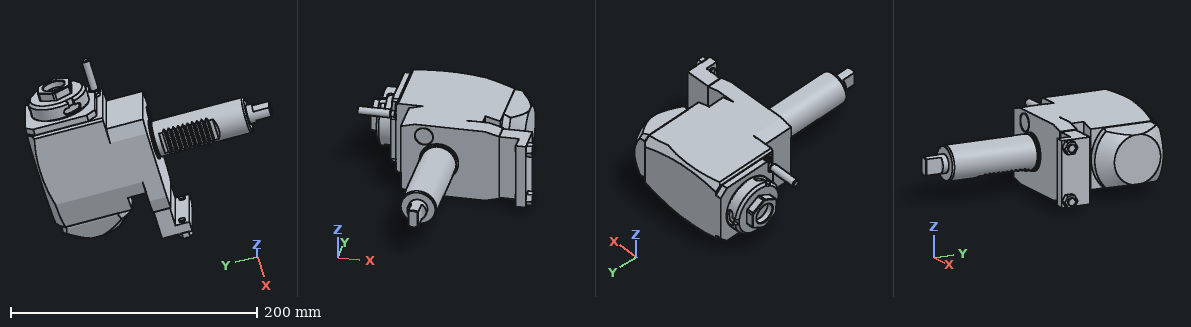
import cadquery as cq
import math


HALF_HEIGHT = 32.0
BACK_Y = 95.0
HEAD_LEFT, HEAD_RIGHT = -42.7, 44.0
HEAD_FRONT = 31.0
NECK_HALF = 31.8
FLANGE_RIGHT = 49.9
FLANGE_DEPTH = 15.3
BEVEL_LENGTH = 11.6
BEVEL_SLOPE = math.tan(math.radians(15))
BEVEL_DROP = BEVEL_LENGTH * BEVEL_SLOPE
HEAD_BEVEL_X = NECK_HALF - BEVEL_LENGTH
HEAD_CHAMFER = 2.0
BACK_CORNER_CHAMFER = 3.5
CROWN_RADIUS = 128.0
CROWN_X = -11.0
CROWN_CHAMFER = 2.3
FACE_RECESS_X, FACE_RECESS_Z = -12.6, 21.5
FACE_RECESS_RADIUS = 7.5
FACE_RECESS_DEPTH = 0.5

SPINDLE_Y = 65.0
CAP_RADIUS = 33.4
CAP_END = 61.5
CAP_CHAMFER_LENGTH, CAP_CHAMFER_RADIAL = 11.0, 12.2
CAP_STEP_X = 45.8
CAP_BACK = 91.2

PLATE_LEFT = -48.1
PLATE_FRONT = 35.9
PLATE_HALF_HEIGHT = 29.5
PLATE_CHAMFER = 7.0
PLATE_CORNER_CHAMFER = 1.7

NUT_LEFT, NUT_RIGHT = -61.5, -48.9
NUT_RADIUS = 24.5
NUT_CHAMFER = 2.3
NUT_NECK_RADIUS = 23.3
HEX_LEFT = -68.5
HEX_FLATS = 27.0
HEX_CORNER_RADIUS = 30.0 / 2
BORE_RADIUS = 9.0
BORE_DEPTH = 5.8
HEX_EDGE_CHAMFER = 0.5
NOTCH_ANGLES = (30, 150, 270)
NOTCH_WIDTH = 5.5
NOTCH_DEPTH = 2.7
NOTCH_END = -55.7
GROOVE_X = -53.0
GROOVE_WIDTH = 5.6
GROOVE_DEPTH = 2.3
GROOVE_ANGLE = 25.0

PIN_Y, PIN_Z = 36.3, 19.0
PIN_LEFT, PIN_RIGHT = -75.5, -48.3
PIN_RADIUS = 3.5
PIN_CHAMFER = 0.8
PIN_COLLAR_X, PIN_COLLAR_RADIUS = -47.5, 3.1
PIN_NECK_X, PIN_NECK_RADIUS = -44.6, 2.5
PIN_CLEARANCE = 4.8
CLAMP_Z = 26.0
CLAMP_RADIUS = 3.7
CLAMP_HEAD = 1.0
SOCKET_SIZE = 2.7

COLLAR_RADIUS, COLLAR_END = 16.1, -1.0
SHANK_RADIUS, SHANK_END = 30.0 / 2, -80.0
SHANK_RELIEF_RADIUS, SHANK_RELIEF_END = 14.5, -2.3
SHANK_CHAMFER_RADIAL, SHANK_CHAMFER_LENGTH = 0.8, 1.5
RACK_Z = -12.0
RACK_START, RACK_END = -7.0, -52.4
RACK_RAMP = -55.0
GAP_COUNT = 10
FIRST_GAP_Y, LAST_GAP_Y = -11.5, -47.3
GAP_PITCH = (FIRST_GAP_Y - LAST_GAP_Y) / (GAP_COUNT - 1)
GAP_DEPTH = 1.5
TENON_RADIUS = 8.0
TENON_END = -85.2
TANG_WIDTH = 8.3
OVERALL_DEPTH = 194.0
TANG_END = BACK_Y - OVERALL_DEPTH
TANG_CHAMFER = 0.5
TANG_ROOT_FILLET = 0.8

FOOT_RIGHT = 74.5
FOOT_HALF_HEIGHT = 28.3
FOOT_BACK, FOOT_FRONT = 14.5, 0.8
TAB_LEFT = 66.2
TAB_FRONT = -11.0
SCREW_Y, SCREW_Z = -5.0, 22.5
SCREW_NUT_FLATS = 10.0
SCREW_NUT_RIGHT = 79.5
SCREW_LEFT, SCREW_TIP_RADIUS = 64.8, 2.5
SCREW_RIGHT, SCREW_RADIUS = 80.9, 3.3


def block(x0, x1, y0, y1, z0, z1):
    """Box between two opposite corners."""
    return cq.Workplane("XY").box(x1 - x0, y1 - y0, z1 - z0, centered=False).translate((x0, y0, z0))


def rod(x0, x1, radius, y, z):
    """Cylinder along X."""
    return cq.Workplane("YZ", origin=(x0, y, z)).circle(radius).extrude(x1 - x0)


def hex_rod(x0, x1, flats, y, z):
    """Hexagonal bar along X with two corners on its Z diameter."""
    diameter = flats / math.cos(math.radians(30))
    bar = cq.Workplane("YZ").polygon(6, diameter).extrude(x1 - x0)
    return bar.rotate((0, 0, 0), (1, 0, 0), 90).translate((x0, y, z))


def turned_x(profile, y, z):
    """Solid turned about an X-parallel axis; the profile lists (x, radius)."""
    return cq.Workplane("XY").polyline(profile).close().revolve(360, (0, 0), (1, 0)).translate((0, y, z))


def prism_y(upper, y0, y1):
    """Prism along Y; upper lists (x, z) and is mirrored to the lower half."""
    lower = [(x, -z) for x, z in reversed(upper)]
    return cq.Workplane("XZ", origin=(0, y1, 0)).polyline(upper + lower).close().extrude(y1 - y0)


def about_spindle(solid, angle):
    return solid.rotate((0, SPINDLE_Y, 0), (1, SPINDLE_Y, 0), angle)


def bevelled_body(right, y0, y1):
    """Body section with its top and bottom bevelled towards both X ends."""
    low = HALF_HEIGHT - BEVEL_DROP
    upper = [
        (-NECK_HALF, low),
        (BEVEL_LENGTH - NECK_HALF, HALF_HEIGHT),
        (right - BEVEL_LENGTH, HALF_HEIGHT),
        (right, low),
    ]
    return prism_y(upper, y0, y1)


def bevel_height(x):
    """Height of the head's sloping top at x."""
    return HALF_HEIGHT - (x - HEAD_BEVEL_X) * BEVEL_SLOPE


def make_head():
    upper = [
        (HEAD_LEFT, HALF_HEIGHT - HEAD_CHAMFER),
        (HEAD_LEFT + HEAD_CHAMFER, HALF_HEIGHT),
        (HEAD_BEVEL_X, HALF_HEIGHT),
        (HEAD_RIGHT, bevel_height(HEAD_RIGHT)),
    ]
    head = prism_y(upper, HEAD_FRONT, BACK_Y)
    head = head.edges("|Z and >X and >Y").chamfer(BACK_CORNER_CHAMFER)
    waist = CROWN_RADIUS + HALF_HEIGHT
    crown = (
        cq.Workplane("XZ")
        .polyline([(0, -HALF_HEIGHT), (CROWN_RADIUS, -HALF_HEIGHT), (waist, 0),
                   (CROWN_RADIUS, HALF_HEIGHT), (0, HALF_HEIGHT)])
        .close()
        .revolve(360, (0, 0), (0, 1))
        .translate((CROWN_X, BACK_Y - CROWN_CHAMFER - CROWN_RADIUS, 0))
    )
    return head.intersect(crown)


def make_cap():
    cap = turned_x(
        [(HEAD_RIGHT, 0), (HEAD_RIGHT, CAP_RADIUS), (CAP_END - CAP_CHAMFER_LENGTH, CAP_RADIUS),
         (CAP_END, CAP_RADIUS - CAP_CHAMFER_RADIAL), (CAP_END, 0)],
        SPINDLE_Y, 0,
    )
    upper = [
        (HEAD_RIGHT, bevel_height(CAP_STEP_X)),
        (CAP_STEP_X, bevel_height(CAP_STEP_X)),
        (CAP_END, bevel_height(CAP_END)),
    ]
    return cap.intersect(prism_y(upper, SPINDLE_Y - CAP_RADIUS, CAP_BACK))


def make_plate():
    plate = block(PLATE_LEFT, HEAD_LEFT, PLATE_FRONT, BACK_Y, -PLATE_HALF_HEIGHT, PLATE_HALF_HEIGHT)
    plate = plate.edges("|X").edges(">Y or <Z").chamfer(PLATE_CHAMFER)
    recess = rod(PLATE_LEFT, HEAD_LEFT, PIN_CLEARANCE, PIN_Y, PIN_Z)
    slot = block(PLATE_LEFT, HEAD_LEFT, PLATE_FRONT, PIN_Y + PIN_CLEARANCE, PIN_Z, PLATE_HALF_HEIGHT)
    plate = plate.cut(recess).cut(slot)
    corner = cq.selectors.NearestToPointSelector((HEAD_LEFT, PIN_Y + PIN_CLEARANCE, PLATE_HALF_HEIGHT))
    return plate.edges("|X").edges(corner).chamfer(PLATE_CORNER_CHAMFER)


def make_collet_nut():
    nut = turned_x(
        [(NUT_LEFT, 0), (NUT_LEFT, NUT_RADIUS - NUT_CHAMFER), (NUT_LEFT + NUT_CHAMFER, NUT_RADIUS),
         (NUT_RIGHT, NUT_RADIUS), (NUT_RIGHT, NUT_NECK_RADIUS), (PLATE_LEFT, NUT_NECK_RADIUS),
         (PLATE_LEFT, 0)],
        SPINDLE_Y, 0,
    )
    notch = block(
        NUT_LEFT, NOTCH_END,
        SPINDLE_Y - NOTCH_WIDTH / 2, SPINDLE_Y + NOTCH_WIDTH / 2,
        NUT_RADIUS - NOTCH_DEPTH, NUT_RADIUS + NOTCH_DEPTH,
    )
    floor = NUT_RADIUS - GROOVE_DEPTH
    end_angle = GROOVE_ANGLE / 2
    sweep = (
        cq.Workplane("XZ", origin=(GROOVE_X, SPINDLE_Y, NUT_RADIUS))
        .rect(GROOVE_WIDTH, 2 * GROOVE_DEPTH)
        .revolve(GROOVE_ANGLE, (0, -NUT_RADIUS), (1, -NUT_RADIUS))
    )
    sweep = about_spindle(sweep, -end_angle)
    round_end = (
        cq.Workplane("XY", origin=(GROOVE_X, SPINDLE_Y, floor))
        .circle(GROOVE_WIDTH / 2)
        .extrude(2 * GROOVE_DEPTH)
    )
    cutters = (
        notch, sweep,
        about_spindle(round_end, -end_angle), about_spindle(round_end, end_angle),
    )
    for angle in NOTCH_ANGLES:
        for cutter in cutters:
            nut = nut.cut(about_spindle(cutter, angle))
    hexagon = hex_rod(HEX_LEFT, NUT_LEFT, HEX_FLATS, SPINDLE_Y, 0)
    hexagon = hexagon.intersect(rod(HEX_LEFT, NUT_LEFT, HEX_CORNER_RADIUS, SPINDLE_Y, 0))
    bore = rod(HEX_LEFT, HEX_LEFT + BORE_DEPTH, BORE_RADIUS, SPINDLE_Y, 0)
    hexagon = hexagon.cut(bore).faces("<X").edges().chamfer(HEX_EDGE_CHAMFER)
    return nut.union(hexagon)


def make_pin():
    return turned_x(
        [(PIN_LEFT, 0), (PIN_LEFT, PIN_RADIUS - PIN_CHAMFER), (PIN_LEFT + PIN_CHAMFER, PIN_RADIUS),
         (PIN_RIGHT, PIN_RADIUS), (PIN_RIGHT, PIN_COLLAR_RADIUS), (PIN_COLLAR_X, PIN_COLLAR_RADIUS),
         (PIN_COLLAR_X, PIN_NECK_RADIUS), (PIN_NECK_X, PIN_NECK_RADIUS), (HEAD_LEFT, PIN_RADIUS),
         (HEAD_LEFT, 0)],
        PIN_Y, PIN_Z,
    )


def make_clamp_screw():
    top = HEAD_LEFT - CLAMP_HEAD
    head = rod(top, HEAD_LEFT, CLAMP_RADIUS, PIN_Y, CLAMP_Z)
    return head.cut(hex_rod(top, HEAD_LEFT, SOCKET_SIZE, PIN_Y, CLAMP_Z))


def make_shank():
    """Collar, shank and tenon turned about Y, then the rack and the drive tang."""
    profile = [
        (0, 0), (COLLAR_RADIUS, 0), (COLLAR_RADIUS, COLLAR_END),
        (SHANK_RELIEF_RADIUS, COLLAR_END), (SHANK_RELIEF_RADIUS, SHANK_RELIEF_END),
        (SHANK_RADIUS, SHANK_RELIEF_END), (SHANK_RADIUS, SHANK_END + SHANK_CHAMFER_LENGTH),
        (SHANK_RADIUS - SHANK_CHAMFER_RADIAL, SHANK_END), (TENON_RADIUS, SHANK_END),
        (TENON_RADIUS, TANG_END + TANG_CHAMFER), (TENON_RADIUS - TANG_CHAMFER, TANG_END), (0, TANG_END),
    ]
    shank = cq.Workplane("XY").polyline(profile).close().revolve(360, (0, 0), (0, 1))

    rack = [(RACK_START, -SHANK_RADIUS), (RACK_START, RACK_Z)]
    for index in range(GAP_COUNT):
        gap_y = FIRST_GAP_Y - index * GAP_PITCH
        rack += [(gap_y + GAP_DEPTH, RACK_Z), (gap_y, RACK_Z + GAP_DEPTH), (gap_y - GAP_DEPTH, RACK_Z)]
    rack += [(RACK_END, RACK_Z), (RACK_RAMP, -SHANK_RADIUS)]
    rack_cut = cq.Workplane("YZ").polyline(rack).close().extrude(SHANK_RADIUS, both=True)

    shank = shank.cut(rack_cut)
    half = TANG_WIDTH / 2
    tang = [
        (-half, TENON_END), (-half, TANG_END + TANG_CHAMFER), (TANG_CHAMFER - half, TANG_END),
        (half - TANG_CHAMFER, TANG_END), (half, TANG_END + TANG_CHAMFER), (half, TENON_END),
    ]
    tang_bar = cq.Workplane("XY").polyline(tang).close().extrude(TENON_RADIUS, both=True)
    blank = block(-SHANK_RADIUS, SHANK_RADIUS, TANG_END, TENON_END, -TENON_RADIUS, TENON_RADIUS)
    shank = shank.cut(blank.cut(tang_bar))
    for side in (-1, 1):
        root = cq.selectors.NearestToPointSelector((side * half, TENON_END, 0))
        shank = shank.edges("|Z").edges(root).fillet(TANG_ROOT_FILLET)
    return shank


def make_bracket():
    half = FOOT_HALF_HEIGHT
    arm = block(FLANGE_RIGHT, FOOT_RIGHT, FOOT_FRONT, FOOT_BACK, -half, half)
    tab = block(TAB_LEFT, FOOT_RIGHT, TAB_FRONT, FOOT_BACK, -half, half)
    bracket = arm.union(tab)
    for z in (-SCREW_Z, SCREW_Z):
        nut = hex_rod(FOOT_RIGHT, SCREW_NUT_RIGHT, SCREW_NUT_FLATS, 0, 0)
        nut = nut.rotate((0, 0, 0), (1, 0, 0), 90).translate((0, SCREW_Y, z))
        bracket = bracket.union(nut)
        bracket = bracket.union(rod(SCREW_LEFT, TAB_LEFT, SCREW_TIP_RADIUS, SCREW_Y, z))
        bracket = bracket.union(rod(SCREW_NUT_RIGHT, SCREW_RIGHT, SCREW_RADIUS, SCREW_Y, z))
    return bracket


flange = bevelled_body(FLANGE_RIGHT, 0, FLANGE_DEPTH)
neck = bevelled_body(NECK_HALF, FLANGE_DEPTH, HEAD_FRONT)
face_recess = (
    cq.Workplane("XZ", origin=(FACE_RECESS_X, 0, FACE_RECESS_Z))
    .circle(FACE_RECESS_RADIUS)
    .extrude(-FACE_RECESS_DEPTH)
)

result = flange.cut(face_recess).union(neck)
features = (
    make_head(), make_cap(), make_plate(), make_collet_nut(),
    make_pin(), make_clamp_screw(), make_shank(), make_bracket(),
)
for feature in features:
    result = result.union(feature)